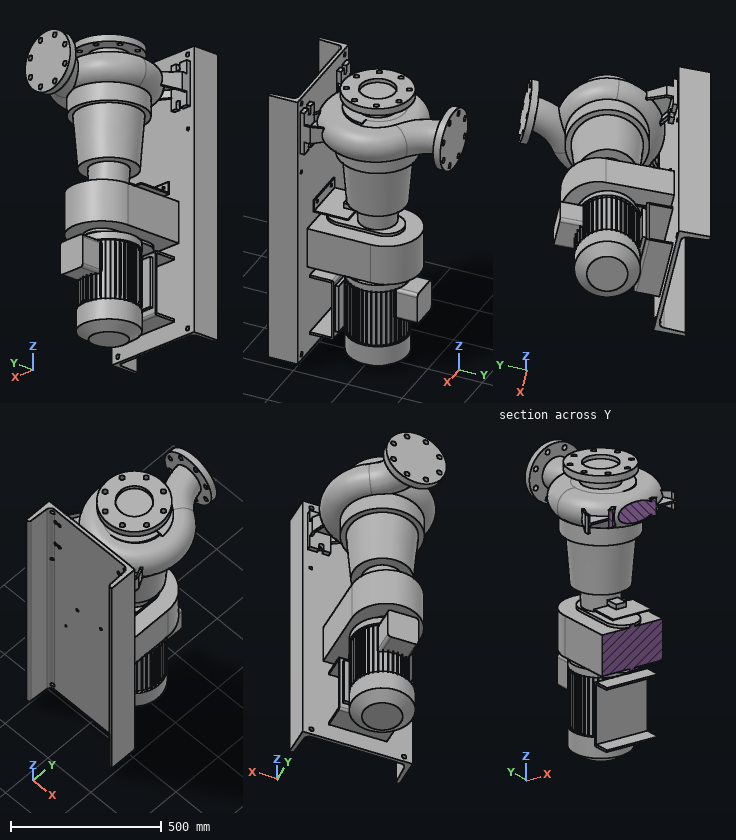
import cadquery as cq
import math


CHANNEL_WIDTH = 400.0
CHANNEL_DEPTH = 110.0
CHANNEL_LENGTH = 1030.0
WEB_THICKNESS = 14.0
FLANGE_TIP_THICKNESS = 15.0
FLANGE_ROOT_THICKNESS = 20.0
FLANGE_ROOT_RADIUS = 18.0
FLANGE_TIP_RADIUS = 8.0
MOUNT_Y = -200.0
CORNER_HOLE_X = 169.0
CORNER_HOLE_INSET = 22.0
CORNER_HOLE_DIAMETER = 16.0
SIDE_HOLE_X = 171.0
SIDE_HOLE_Z = -290.0
SIDE_HOLE_DIAMETER = 12.0
SPARE_HOLE_X = 156.0

PUMP_Z = -131.0
TUBE_RADIUS = 58.0
VOLUTE_OFFSET = 16.0
VOLUTE_RADIUS = 137.0
TONGUE_OFFSET = -5.0
DISCHARGE_FACE_Y = 280.0
FLANGE_BOLT_COUNT = 8
FLANGE_BOLT_DIAMETER = 18.0
DISCHARGE_FLANGE_DIAMETER = 219.0
DISCHARGE_FLANGE_THICKNESS = 26.0
DISCHARGE_BOLT_CIRCLE = 180.0
SUCTION_WALL_DIAMETER = 236.0
SUCTION_WALL_Z = -76.0
SUCTION_FACE_Z = -6.0
SUCTION_FLANGE_DIAMETER = 250.0
SUCTION_FLANGE_THICKNESS = 26.0
SUCTION_BOLT_CIRCLE = 210.0
SUCTION_NECK_DIAMETER = 140.0
SUCTION_BORE_DIAMETER = 125.0
SUCTION_BORE_DEPTH = 15.0

COVER_DIAMETER = 280.0
COVER_BOTTOM_Z = -251.0
LANTERN_TOP_DIAMETER = 240.0
LANTERN_BOTTOM_DIAMETER = 209.0
LANTERN_BOTTOM_Z = -442.0
BEARING_TOP_DIAMETER = 141.0
BEARING_BOTTOM_DIAMETER = 134.0
BEARING_BOTTOM_Z = -519.0
SHAFT_DIAMETER = 28.0

FOOT_OUTER_X = 181.0
FOOT_INNER_X = 105.0
FOOT_PAD_LENGTH = 161.0
FOOT_PAD_THICKNESS = 16.0
FOOT_WALL = 8.0
FOOT_SHOULDER_Y = -163.0
FOOT_TOP_X = 149.0
FOOT_TOP_Y = -99.0
FOOT_WALL_BASE_LENGTH = 65.0
FOOT_WALL_TOP_LENGTH = 45.0
INNER_WALL_END_X = 53.0
INNER_WALL_END_Y = -151.0
INNER_WALL_HEIGHT = 13.0
FOOT_SLOT_X = 139.0
FOOT_SLOT_SPACING = 124.0
FOOT_SLOT_WIDTH = 18.0
FOOT_BOLT_DIAMETER = 14.0

SUPPORT_WIDTH = 160.0
SUPPORT_THICKNESS = 4.0
SUPPORT_TOP_Z = -454.0
SUPPORT_BOTTOM_Z = -497.0
SUPPORT_END_Y = -72.0
SUPPORT_BOLT_X = 55.0
SUPPORT_BOLT_Z = -470.0
SUPPORT_BOLT_DIAMETER = 11.0
LUG_WIDTH = 42.0
LUG_HEIGHT = 18.0
LUG_END_Y = -116.0

GUARD_TOP_Z = -539.0
GUARD_BOTTOM_Z = -688.0
GUARD_RADIUS = 125.0
GUARD_ARC_Y = 32.0
GUARD_PLATE_THICKNESS = 11.0
GUARD_PLATE_RADIUS = 63.0
GUARD_PLATE_LOWER_Y = -118.0
GUARD_BOLT_X = 109.0
GUARD_BOLT_DIAMETER = 7.0

MOTOR_DIAMETER = 220.0
MOTOR_TOP_Z = -709.0
FINS_TOP_Z = -737.0
FINS_BOTTOM_Z = -951.0
COWL_BOTTOM_Z = -1026.0
MOTOR_END_Z = -1054.0
COWL_END_DIAMETER = 136.0
BARREL_DIAMETER = 202.0
FIN_COUNT = 40
FIN_THICKNESS = 2.0
FIN_END_TAPER_LENGTH = 16.0
FIN_END_DROP = 3.0
TERMINAL_BOX_WIDTH = 112.0
TERMINAL_BOX_TOP_Z = -738.0
TERMINAL_BOX_HEIGHT = 118.0
TERMINAL_BOX_FACE_Y = 172.0
TERMINAL_BOX_RADIUS = 12.0
MOTOR_PAD_TOP_Z = -756.0
MOTOR_PAD_BOTTOM_Z = -936.0
MOTOR_PAD_WIDTH = 105.0
MOTOR_BASE_Y = -112.0
MOTOR_FOOT_WIDTH = 190.0
MOTOR_FOOT_THICKNESS = 13.0

BRACKET_WIDTH = 211.0
BRACKET_TOP_Z = -733.0
BRACKET_BOTTOM_Z = -964.0
BRACKET_THICKNESS = 8.0
BRACKET_OUTER_RADIUS = 8.0


def box_between(x_range, y_range, z_range):
    """Box from its lower and upper limits along each axis."""
    size = [high - low for low, high in (x_range, y_range, z_range)]
    corner = (x_range[0], y_range[0], z_range[0])
    return cq.Workplane("XY").box(*size, centered=False).translate(corner)


def vertical_frustum(top_diameter, bottom_diameter, top_z, bottom_z):
    """Solid of revolution about the shaft axis with straight sides."""
    return (
        cq.Workplane("XZ")
        .moveTo(0, top_z)
        .lineTo(top_diameter / 2, top_z)
        .lineTo(bottom_diameter / 2, bottom_z)
        .lineTo(0, bottom_z)
        .close()
        .revolve(360, (0, 0, 0), (0, 1, 0))
    )


def vertical_cylinder(diameter, top_z, bottom_z):
    return vertical_frustum(diameter, diameter, top_z, bottom_z)


def prism_in_xy(points, z_range):
    """Prism over a polygon in the XY plane."""
    low, high = z_range
    return cq.Workplane("XY").workplane(offset=low).polyline(points).close().extrude(high - low)


def mirror_pair(x, z):
    """Points of the XZ plane at both sides of the shaft axis."""
    return [(-x, z), (x, z)]


def channel_profile():
    """C section with tapered flanges, rounded at their roots and at their inner tips."""
    half = CHANNEL_WIDTH / 2
    tip_y = MOUNT_Y - CHANNEL_DEPTH
    web_inner_y = MOUNT_Y - WEB_THICKNESS
    tip_x = half - FLANGE_TIP_THICKNESS
    root_x = half - FLANGE_ROOT_THICKNESS
    outline = [
        (-half, MOUNT_Y),
        (half, MOUNT_Y),
        (half, tip_y),
        (tip_x, tip_y),
        (root_x, web_inner_y),
        (-root_x, web_inner_y),
        (-tip_x, tip_y),
        (-half, tip_y),
    ]
    profile = prism_in_xy(outline, (-CHANNEL_LENGTH, 0))

    def edges_at(x, y):
        picks = [cq.selectors.NearestToPointSelector((s * x, y, -CHANNEL_LENGTH / 2)) for s in (-1, 1)]
        return picks[0] + picks[1]

    profile = profile.edges(edges_at(root_x, web_inner_y)).fillet(FLANGE_ROOT_RADIUS)
    return profile.edges(edges_at(tip_x, tip_y)).fillet(FLANGE_TIP_RADIUS)


def web_drill(points, diameter):
    """Pins through the channel web at the given (X, Z) points."""
    reach = FLANGE_ROOT_RADIUS + WEB_THICKNESS
    return cq.Workplane("XZ", origin=(0, MOUNT_Y, 0)).pushPoints(points).circle(diameter / 2).extrude(reach)


def make_channel():
    channel = channel_profile()
    lower_corner_z = CORNER_HOLE_INSET - CHANNEL_LENGTH
    corner_points = mirror_pair(CORNER_HOLE_X, -CORNER_HOLE_INSET)
    corner_points += mirror_pair(CORNER_HOLE_X, lower_corner_z)
    pump_points = []
    for z in (PUMP_Z - FOOT_SLOT_SPACING / 2, PUMP_Z + FOOT_SLOT_SPACING / 2):
        pump_points += mirror_pair(FOOT_SLOT_X, z) + mirror_pair(SPARE_HOLE_X, z)
    guard_z = (GUARD_TOP_Z + GUARD_BOTTOM_Z) / 2
    hole_sets = [
        (corner_points, CORNER_HOLE_DIAMETER),
        (pump_points, FOOT_BOLT_DIAMETER),
        (mirror_pair(SIDE_HOLE_X, SIDE_HOLE_Z), SIDE_HOLE_DIAMETER),
        (mirror_pair(SUPPORT_BOLT_X, SUPPORT_BOLT_Z), SUPPORT_BOLT_DIAMETER),
        (mirror_pair(GUARD_BOLT_X, guard_z), GUARD_BOLT_DIAMETER),
    ]
    for points, diameter in hole_sets:
        channel = channel.cut(web_drill(points, diameter))
    return channel


def tube_arc(centre, radius, start_angle, sweep_angle):
    """Round tube, filled solid, along an arc in the centre plane of the pump."""
    centre_x, centre_y = centre
    return (
        cq.Workplane("XZ")
        .center(radius, 0)
        .circle(TUBE_RADIUS)
        .revolve(sweep_angle, (-radius, 0, 0), (-radius, 1, 0))
        .rotate((0, 0, 0), (0, 0, 1), start_angle)
        .translate((centre_x, centre_y, PUMP_Z))
    )


def bolted_flange(diameter, thickness, bolt_circle):
    """Flange disc on the XY plane, with its bolt holes straddling the axes."""
    half_step = 180 / FLANGE_BOLT_COUNT
    return (
        cq.Workplane("XY")
        .circle(diameter / 2)
        .extrude(thickness)
        .faces(">Z")
        .workplane()
        .polarArray(bolt_circle / 2, half_step, 360, FLANGE_BOLT_COUNT)
        .hole(FLANGE_BOLT_DIAMETER)
    )


def make_volute():
    """Volute ring, the wall that closes it, and the bend that carries its outlet back over the shaft axis."""
    outlet_x = VOLUTE_OFFSET + VOLUTE_RADIUS
    outlet_angle = 2 * math.atan2(outlet_x, DISCHARGE_FACE_Y)
    bend_radius = DISCHARGE_FACE_Y / math.sin(outlet_angle) - VOLUTE_RADIUS
    outlet_degrees = math.degrees(outlet_angle)
    tongue_radius = TONGUE_OFFSET - VOLUTE_OFFSET + VOLUTE_RADIUS

    main_arc = tube_arc((VOLUTE_OFFSET, 0), VOLUTE_RADIUS, 180, 180 + outlet_degrees)
    tongue_arc = tube_arc((TONGUE_OFFSET, 0), tongue_radius, 0, 180)
    bend = tube_arc((bend_radius, DISCHARGE_FACE_Y), bend_radius, 180, outlet_degrees)
    wall = vertical_cylinder(SUCTION_WALL_DIAMETER, SUCTION_WALL_Z, PUMP_Z)
    discharge_flange = (
        bolted_flange(DISCHARGE_FLANGE_DIAMETER, DISCHARGE_FLANGE_THICKNESS, DISCHARGE_BOLT_CIRCLE)
        .rotate((0, 0, 0), (1, 0, 0), 90)
        .translate((0, DISCHARGE_FACE_Y, PUMP_Z))
    )
    return main_arc.union(tongue_arc).union(bend).union(wall).union(discharge_flange)


def make_suction():
    """Suction neck and flange with a blind bore."""
    flange_back_z = SUCTION_FACE_Z - SUCTION_FLANGE_THICKNESS
    flange = bolted_flange(SUCTION_FLANGE_DIAMETER, SUCTION_FLANGE_THICKNESS, SUCTION_BOLT_CIRCLE)
    bore = vertical_cylinder(SUCTION_BORE_DIAMETER, SUCTION_FACE_Z, SUCTION_FACE_Z - SUCTION_BORE_DEPTH)
    neck = vertical_cylinder(SUCTION_NECK_DIAMETER, flange_back_z, PUMP_Z)
    return flange.translate((0, 0, flange_back_z)).cut(bore).union(neck)


def make_bearing_housing():
    """Casing cover, lantern, bearing neck and shaft end, stacked down the axis."""
    cover = vertical_cylinder(COVER_DIAMETER, PUMP_Z, COVER_BOTTOM_Z)
    lantern = vertical_frustum(
        LANTERN_TOP_DIAMETER, LANTERN_BOTTOM_DIAMETER, COVER_BOTTOM_Z, LANTERN_BOTTOM_Z
    )
    bearing = vertical_frustum(
        BEARING_TOP_DIAMETER, BEARING_BOTTOM_DIAMETER, LANTERN_BOTTOM_Z, BEARING_BOTTOM_Z
    )
    shaft = vertical_cylinder(SHAFT_DIAMETER, BEARING_BOTTOM_Z, GUARD_TOP_Z + GUARD_PLATE_THICKNESS)
    return cover.union(lantern).union(bearing).union(shaft)


def make_pump_foot():
    """Foot on the +X side: slotted pad, outer and inner walls, and a thin plate between them."""
    pad_top_y = MOUNT_Y + FOOT_PAD_THICKNESS
    half_pad = FOOT_PAD_LENGTH / 2
    half_base = FOOT_WALL_BASE_LENGTH / 2
    half_top = FOOT_WALL_TOP_LENGTH / 2
    pad = box_between(
        (FOOT_INNER_X, FOOT_OUTER_X),
        (MOUNT_Y, pad_top_y),
        (PUMP_Z - half_pad, PUMP_Z + half_pad),
    )
    for side in (-1, 1):
        slot_end = PUMP_Z + side * FOOT_SLOT_SPACING / 2
        pad_end = PUMP_Z + side * half_pad
        slot_x = (FOOT_SLOT_X - FOOT_SLOT_WIDTH / 2, FOOT_SLOT_X + FOOT_SLOT_WIDTH / 2)
        opening = box_between(slot_x, (MOUNT_Y, pad_top_y), sorted((slot_end, pad_end)))
        round_end = (
            cq.Workplane("XZ", origin=(FOOT_SLOT_X, pad_top_y, slot_end))
            .circle(FOOT_SLOT_WIDTH / 2)
            .extrude(FOOT_PAD_THICKNESS)
        )
        pad = pad.cut(opening).cut(round_end)

    wall_z = (PUMP_Z - half_base, PUMP_Z + half_base)
    outer_wall = prism_in_xy(
        [
            (FOOT_OUTER_X, pad_top_y),
            (FOOT_OUTER_X, FOOT_SHOULDER_Y),
            (FOOT_TOP_X, FOOT_TOP_Y),
            (FOOT_TOP_X - FOOT_WALL, FOOT_TOP_Y),
            (FOOT_OUTER_X - FOOT_WALL, FOOT_SHOULDER_Y),
            (FOOT_OUTER_X - FOOT_WALL, pad_top_y),
        ],
        wall_z,
    )
    wall_taper = (
        cq.Workplane("YZ")
        .polyline(
            [
                (pad_top_y, PUMP_Z - half_base),
                (FOOT_SHOULDER_Y, PUMP_Z - half_base),
                (FOOT_TOP_Y, PUMP_Z - half_top),
                (FOOT_TOP_Y, PUMP_Z + half_top),
                (FOOT_SHOULDER_Y, PUMP_Z + half_base),
                (pad_top_y, PUMP_Z + half_base),
            ]
        )
        .close()
        .extrude(FOOT_OUTER_X)
    )
    inner_wall = prism_in_xy(
        [
            (FOOT_INNER_X, pad_top_y),
            (FOOT_INNER_X, pad_top_y - INNER_WALL_HEIGHT),
            (INNER_WALL_END_X, INNER_WALL_END_Y - INNER_WALL_HEIGHT),
            (INNER_WALL_END_X, INNER_WALL_END_Y),
        ],
        wall_z,
    )
    plate = prism_in_xy(
        [
            (FOOT_OUTER_X - FOOT_WALL, pad_top_y),
            (FOOT_OUTER_X - FOOT_WALL, FOOT_SHOULDER_Y),
            (FOOT_TOP_X - FOOT_WALL, FOOT_TOP_Y),
            (INNER_WALL_END_X, INNER_WALL_END_Y),
            (FOOT_INNER_X, pad_top_y),
        ],
        (PUMP_Z - FOOT_WALL / 2, PUMP_Z + FOOT_WALL / 2),
    )
    return pad.union(outer_wall.intersect(wall_taper)).union(inner_wall).union(plate)


def make_bearing_support():
    """Lug under the bearing neck, standing on an angle plate bolted to the web."""
    half_width = SUPPORT_WIDTH / 2
    shelf_z = SUPPORT_BOTTOM_Z + SUPPORT_THICKNESS
    shelf = box_between((-half_width, half_width), (MOUNT_Y, SUPPORT_END_Y), (SUPPORT_BOTTOM_Z, shelf_z))
    back = box_between(
        (-half_width, half_width),
        (MOUNT_Y, MOUNT_Y + SUPPORT_THICKNESS),
        (SUPPORT_BOTTOM_Z, SUPPORT_TOP_Z),
    )
    lug = box_between((-LUG_WIDTH / 2, LUG_WIDTH / 2), (LUG_END_Y, 0), (shelf_z, shelf_z + LUG_HEIGHT))
    bolt_holes = (
        cq.Workplane("XZ", origin=(0, MOUNT_Y, 0))
        .pushPoints(mirror_pair(SUPPORT_BOLT_X, SUPPORT_BOLT_Z))
        .circle(SUPPORT_BOLT_DIAMETER / 2)
        .extrude(-SUPPORT_THICKNESS)
    )
    return shelf.union(back).cut(bolt_holes).union(lug)


def make_pump():
    right_foot = make_pump_foot()
    left_foot = right_foot.mirror("YZ")
    pump = make_volute().union(make_suction()).union(make_bearing_housing())
    return pump.union(right_foot).union(left_foot).union(make_bearing_support())


def make_guard():
    """Arched guard standing on the web, with an oblong plate on each end."""
    height = GUARD_TOP_Z - GUARD_BOTTOM_Z
    guard = (
        cq.Workplane("XY", origin=(0, 0, GUARD_BOTTOM_Z))
        .moveTo(-GUARD_RADIUS, MOUNT_Y)
        .lineTo(GUARD_RADIUS, MOUNT_Y)
        .lineTo(GUARD_RADIUS, GUARD_ARC_Y)
        .threePointArc((0, GUARD_ARC_Y + GUARD_RADIUS), (-GUARD_RADIUS, GUARD_ARC_Y))
        .close()
        .extrude(height)
    )
    plate_middle_y = (GUARD_ARC_Y + GUARD_PLATE_LOWER_Y) / 2
    plate_length = GUARD_ARC_Y - GUARD_PLATE_LOWER_Y + 2 * GUARD_PLATE_RADIUS
    plates = (
        cq.Workplane("XY", origin=(0, plate_middle_y, GUARD_BOTTOM_Z - GUARD_PLATE_THICKNESS))
        .slot2D(plate_length, 2 * GUARD_PLATE_RADIUS, 90)
        .extrude(height + 2 * GUARD_PLATE_THICKNESS)
    )
    return guard.union(plates)


def make_fin():
    """Radial cooling fin on the +X side, slightly lower towards both ends."""
    root_x = BARREL_DIAMETER / 2 - FIN_THICKNESS
    tip_x = MOTOR_DIAMETER / 2
    end_x = tip_x - FIN_END_DROP
    return (
        cq.Workplane("XZ")
        .polyline(
            [
                (root_x, FINS_TOP_Z),
                (end_x, FINS_TOP_Z),
                (tip_x, FINS_TOP_Z - FIN_END_TAPER_LENGTH),
                (tip_x, FINS_BOTTOM_Z + FIN_END_TAPER_LENGTH),
                (end_x, FINS_BOTTOM_Z),
                (root_x, FINS_BOTTOM_Z),
            ]
        )
        .close()
        .extrude(FIN_THICKNESS / 2, both=True)
    )


def make_motor_frame():
    """Ring, finned barrel, fan cowl and shaft end."""
    barrel = vertical_cylinder(BARREL_DIAMETER, FINS_TOP_Z, FINS_BOTTOM_Z)
    fin = make_fin()
    for index in range(FIN_COUNT):
        barrel = barrel.union(fin.rotate((0, 0, 0), (0, 0, 1), (index + 0.5) * 360 / FIN_COUNT))
    shaft = vertical_cylinder(SHAFT_DIAMETER, GUARD_BOTTOM_Z - GUARD_PLATE_THICKNESS, MOTOR_TOP_Z)
    ring = vertical_cylinder(MOTOR_DIAMETER, MOTOR_TOP_Z, FINS_TOP_Z)
    cowl = vertical_cylinder(MOTOR_DIAMETER, FINS_BOTTOM_Z, COWL_BOTTOM_Z)
    cowl_end = vertical_frustum(MOTOR_DIAMETER, COWL_END_DIAMETER, COWL_BOTTOM_Z, MOTOR_END_Z)
    return barrel.union(shaft).union(ring).union(cowl).union(cowl_end)


def make_terminal_box():
    """Box on the +Y side with rounded corners."""
    half_width = TERMINAL_BOX_WIDTH / 2
    box = box_between(
        (-half_width, half_width),
        (0, TERMINAL_BOX_FACE_Y),
        (TERMINAL_BOX_TOP_Z - TERMINAL_BOX_HEIGHT, TERMINAL_BOX_TOP_Z),
    )
    return box.edges("|Y").fillet(TERMINAL_BOX_RADIUS)


def make_motor_foot():
    """Foot plate on the -Y side and the pad that joins it to the barrel."""
    half_foot = MOTOR_FOOT_WIDTH / 2
    half_pad = MOTOR_PAD_WIDTH / 2
    z_range = (MOTOR_PAD_BOTTOM_Z, MOTOR_PAD_TOP_Z)
    plate = box_between((-half_foot, half_foot), (MOTOR_BASE_Y, MOTOR_BASE_Y + MOTOR_FOOT_THICKNESS), z_range)
    pad = box_between((-half_pad, half_pad), (MOTOR_BASE_Y, 0), z_range)
    return plate.union(pad)


def make_motor():
    return make_motor_frame().union(make_terminal_box()).union(make_motor_foot())


def make_motor_bracket():
    """Bent plate that holds the motor off the web: two legs and a seat with rounded outer bends."""
    half_width = BRACKET_WIDTH / 2
    outer = box_between((-half_width, half_width), (MOUNT_Y, MOTOR_BASE_Y), (BRACKET_BOTTOM_Z, BRACKET_TOP_Z))
    outer = outer.faces(">Y").edges("|X").fillet(BRACKET_OUTER_RADIUS)
    opening = box_between(
        (-half_width, half_width),
        (MOUNT_Y, MOTOR_BASE_Y - BRACKET_THICKNESS),
        (BRACKET_BOTTOM_Z + BRACKET_THICKNESS, BRACKET_TOP_Z - BRACKET_THICKNESS),
    )
    return outer.cut(opening)


channel = make_channel()
pump = make_pump()
guard = make_guard()
motor = make_motor()
motor_bracket = make_motor_bracket()

result = cq.Compound.makeCompound(
    [channel.val(), pump.val(), guard.val(), motor.val(), motor_bracket.val()]
)